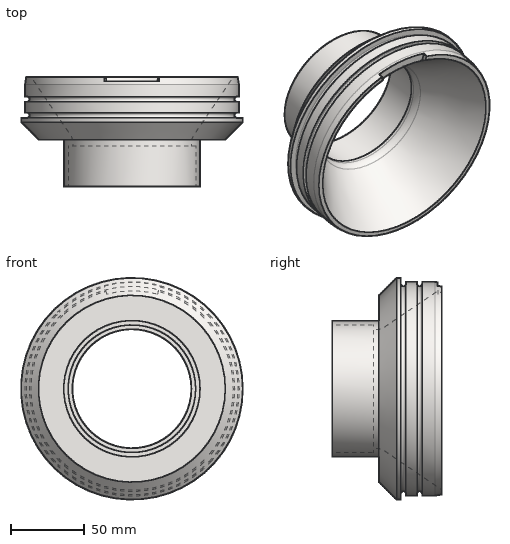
import cadquery as cq
import math

FULL_TURN = 360
AXIS_START = (0, 0, 0)
AXIS_END = (0, 1, 0)

total_length = 75.0

pipe_length = 32.0
pipe_outer_radius = 93.0 / 2
pipe_bore_radius = 87.0 / 2
pipe_bore_depth = 28.0

throat_radius = 81.0 / 2
throat_length = 2.0
throat_round_radius = 10.0

flange_radius = 151.42 / 2
flange_cone_length = 12.0
flange_rim_width = 3.0

body_radius = 146.2 / 2
lead_in_length = 5.0
lead_in_angle = 10.0
mouth_radius = 69.0

groove_width = 3.4
groove_depth = 3.1
land_width = 7.6

notch_depth = 3.0
notch_angle = 30.0

flange_cone_end = pipe_length + flange_cone_length
flange_back = flange_cone_end + flange_rim_width
groove_starts = [flange_back, flange_back + groove_width + land_width]


def add_groove(profile, start):
    """Continue an outline along a full-round groove, ending on the body surface behind it."""
    round_radius = groove_width / 2
    shoulder_radius = body_radius - groove_depth + round_radius
    end = start + groove_width
    return (
        profile.lineTo(body_radius, start)
        .lineTo(shoulder_radius, start)
        .threePointArc((body_radius - groove_depth, start + round_radius), (shoulder_radius, end))
        .lineTo(body_radius, end)
    )


def make_outer_body():
    """Solid of revolution bounded by the pipe, flange and grooved body."""
    lead_in_drop = lead_in_length * math.tan(math.radians(lead_in_angle))
    profile = (
        cq.Workplane("XY")
        .moveTo(0, 0)
        .lineTo(pipe_outer_radius, 0)
        .lineTo(pipe_outer_radius, pipe_length)
        .lineTo(flange_radius - flange_cone_length, pipe_length)
        .lineTo(flange_radius, flange_cone_end)
        .lineTo(flange_radius, flange_back)
    )
    for start in groove_starts:
        profile = add_groove(profile, start)
    return (
        profile.lineTo(body_radius, total_length - lead_in_length)
        .lineTo(body_radius - lead_in_drop, total_length)
        .lineTo(0, total_length)
        .close()
        .revolve(FULL_TURN, AXIS_START, AXIS_END)
    )


def make_passage():
    """Pipe bore, throat, rounded throat edge and conical mouth as one solid of revolution."""
    throat_end = pipe_bore_depth + throat_length
    centre_radius = throat_radius + throat_round_radius

    radial_gap = mouth_radius - centre_radius
    axial_gap = total_length - throat_end
    gap = math.hypot(radial_gap, axial_gap)
    cone_angle = math.atan2(radial_gap, axial_gap) + math.asin(throat_round_radius / gap)

    def round_point(angle):
        """Point on the throat round, turned by the given angle from the throat end."""
        return (
            centre_radius - throat_round_radius * math.cos(angle),
            throat_end + throat_round_radius * math.sin(angle),
        )

    return (
        cq.Workplane("XY")
        .moveTo(0, 0)
        .lineTo(pipe_bore_radius, 0)
        .lineTo(pipe_bore_radius, pipe_bore_depth)
        .lineTo(throat_radius, pipe_bore_depth)
        .lineTo(throat_radius, throat_end)
        .threePointArc(round_point(cone_angle / 2), round_point(cone_angle))
        .lineTo(mouth_radius, total_length)
        .lineTo(0, total_length)
        .close()
        .revolve(FULL_TURN, AXIS_START, AXIS_END)
    )


def make_notch():
    """Wedge centred on +Z that cuts through the rear rim."""
    half_angle = math.radians(notch_angle / 2)
    side_x = flange_radius * math.tan(half_angle)
    return (
        cq.Workplane("XZ", origin=(0, total_length, 0))
        .moveTo(0, 0)
        .lineTo(side_x, flange_radius)
        .lineTo(-side_x, flange_radius)
        .close()
        .extrude(notch_depth)
    )


result = make_outer_body().cut(make_passage()).cut(make_notch())